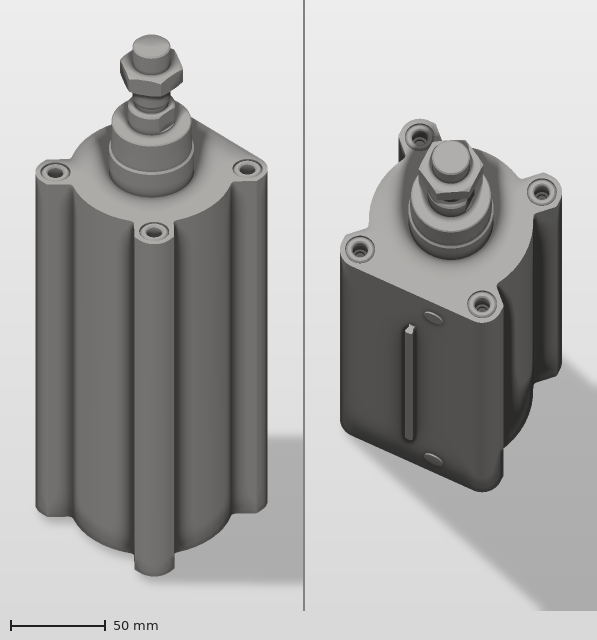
import cadquery as cq
import math


barrel_length = 227.7
barrel_width = 93.0
barrel_radius = 43.5
half_width = barrel_width / 2
screw_offset = 36.0
lobe_radius = half_width - screw_offset
lobe_width = 21.0
lobe_edge_radius = 1.3
root_radius = 2.5

groove_diameter = 16.0
groove_depth = 1.5
head_diameter = 15.0
head_chamfer = 1.0
socket_mouth_diameter = 10.0
socket_diameter = 8.3
socket_depth = 9.5
socket_tip_diameter = 5.7
socket_tip_depth = 2.0

collar_diameter = 45.0
collar_height = 34.3
collar_step_height = 16.5
collar_chamfer = 1.1
upper_collar_top_diameter = 42.2
upper_collar_chamfer = 0.5
foot_height = 4.5
foot_chamfer = 1.0

rail_length = 142.5
rail_height = 5.0
rail_base_width = 3.8
rail_waist_width = 2.5
rail_waist_height = 1.3
rail_head_width = 4.5
rail_head_chamfer = 0.8
disc_diameter = 10.8
disc_height = 1.0
disc_x = -12.7
disc_end_distance = 18.7

rod_diameter = 25.0
rod_shoulder_height = 46.0
rod_shoulder_chamfer = 1.0
flats_width = 22.2
flats_bottom_height = 35.3
neck_diameter = 17.8
neck_top_height = 48.3
thread_end_diameter = 18.5
thread_end_height = 49.0
thread_diameter = 20.0
thread_bottom_height = 50.8
thread_top_height = 85.5
thread_chamfer = 0.8

nut_width = 30.0
nut_thickness = 10.2
nut_bottom_height = 63.2
nut_corner_diameter = nut_width / math.cos(math.pi / 6)
nut_chamfer_radial = 2.0
nut_chamfer_axial = 1.0

clearance = 3.2


def cylinder(diameter, bottom, top):
    return cq.Workplane("XY").workplane(offset=bottom).circle(diameter / 2).extrude(top - bottom)


def revolved(profile):
    """Turn an (r, z) profile about the Z axis."""
    return cq.Workplane("XZ").polyline(profile).close().revolve(360, (0, 0, 0), (0, 1, 0))


def make_corner_lobes():
    """Two crossed diagonal bars trimmed to a rounded square."""
    square = cq.Workplane("XY").rect(barrel_width, barrel_width).extrude(barrel_length)
    square = square.edges("|Z").fillet(lobe_radius)
    bar = cq.Workplane("XY").rect(2 * barrel_width, lobe_width).extrude(barrel_length)
    bars = bar.rotate((0, 0, 0), (0, 0, 1), 45).union(bar.rotate((0, 0, 0), (0, 0, 1), -45))
    return square.intersect(bars)


def make_barrel():
    flat_side = cq.Workplane("XY").rect(2 * screw_offset, lobe_radius).extrude(barrel_length)
    flat_side = flat_side.translate((0, screw_offset + lobe_radius / 2, 0))
    barrel = cylinder(2 * barrel_radius, 0, barrel_length)
    barrel = barrel.union(make_corner_lobes()).union(flat_side).clean()

    def upright_edges_at(radius):
        tolerance = 0.03

        def at_radius(edge):
            middle = edge.Center()
            return abs(math.hypot(middle.x, middle.y) - radius) < tolerance

        return barrel.edges("|Z").filter(at_radius)

    lobe_corner_radius = math.hypot(half_width, half_width - lobe_width / math.sqrt(2))
    barrel = upright_edges_at(lobe_corner_radius).fillet(lobe_edge_radius)
    return upright_edges_at(barrel_radius).fillet(root_radius)


def make_screw_cutters():
    """Cutting tools for one screw: the groove around its chamfered head and its stepped socket."""
    groove_radius = groove_diameter / 2
    head_radius = head_diameter / 2
    groove = revolved([
        (head_radius - head_chamfer, 0),
        (head_radius, -head_chamfer),
        (head_radius, -groove_depth),
        (groove_radius, -groove_depth),
        (groove_radius, 0),
    ])
    mouth_radius = socket_mouth_diameter / 2
    socket_radius = socket_diameter / 2
    tip_radius = socket_tip_diameter / 2
    tip_bottom = -socket_depth - socket_tip_depth
    socket = revolved([
        (0, 0),
        (mouth_radius, 0),
        (socket_radius, socket_radius - mouth_radius),
        (socket_radius, -socket_depth),
        (tip_radius, -socket_depth),
        (tip_radius, tip_bottom),
        (0, tip_bottom),
    ])
    return groove, socket


def make_collar():
    """Stepped collar around the rod: a cylinder below and a slight cone above."""
    radius = collar_diameter / 2
    collar = revolved([
        (0, 0),
        (radius, 0),
        (radius, collar_step_height - collar_chamfer),
        (radius - collar_chamfer, collar_step_height),
        (upper_collar_top_diameter / 2, collar_height - upper_collar_chamfer),
        (upper_collar_top_diameter / 2 - upper_collar_chamfer, collar_height),
        (0, collar_height),
    ])
    return collar.translate((0, 0, barrel_length))


def make_foot():
    return cylinder(collar_diameter, -foot_height, 0).faces("<Z").chamfer(foot_chamfer)


def make_rail():
    """Rail with a waisted cross-section, centred along the barrel on its flat side."""
    half_profile = [
        (rail_base_width / 2, 0),
        (rail_waist_width / 2, rail_waist_height),
        (rail_head_width / 2, rail_height - rail_head_chamfer),
        (rail_head_width / 2 - rail_head_chamfer, rail_height),
    ]
    mirrored = [(-x, y) for x, y in reversed(half_profile)]
    rail = cq.Workplane("XY").polyline(half_profile + mirrored).close().extrude(rail_length)
    return rail.translate((0, half_width, (barrel_length - rail_length) / 2))


def make_disc(z):
    disc = cq.Workplane("XZ").circle(disc_diameter / 2).extrude(-disc_height)
    return disc.translate((disc_x, half_width, z))


def make_housing():
    housing = make_barrel().union(make_collar()).union(make_foot()).union(make_rail())
    for z in (disc_end_distance, barrel_length - disc_end_distance):
        housing = housing.union(make_disc(z))
    groove, socket = make_screw_cutters()
    for x in (-screw_offset, screw_offset):
        for y in (-screw_offset, screw_offset):
            screw_place = (x, y, barrel_length)
            housing = housing.cut(groove.translate(screw_place)).cut(socket.translate(screw_place))
    rod_hole = cylinder(rod_diameter, barrel_length, barrel_length + collar_height + clearance)
    return housing.cut(rod_hole)


def make_rod():
    """Rod seated in the collar, with wrench flats, a neck and a plain threaded end."""
    rod_radius = rod_diameter / 2
    thread_radius = thread_diameter / 2
    rod = revolved([
        (0, 0),
        (rod_radius, 0),
        (rod_radius, rod_shoulder_height - rod_shoulder_chamfer),
        (rod_radius - rod_shoulder_chamfer, rod_shoulder_height),
        (neck_diameter / 2, rod_shoulder_height),
        (neck_diameter / 2, neck_top_height),
        (thread_end_diameter / 2, neck_top_height),
        (thread_end_diameter / 2, thread_end_height),
        (thread_radius, thread_bottom_height),
        (thread_radius, thread_top_height - thread_chamfer),
        (thread_radius - thread_chamfer, thread_top_height),
        (0, thread_top_height),
    ])
    flat_height = rod_shoulder_height - flats_bottom_height
    for side in (-1, 1):
        flat_x = side * (flats_width + rod_diameter) / 2
        flat = cq.Workplane("XY").box(rod_diameter, 2 * rod_diameter, flat_height)
        rod = rod.cut(flat.translate((flat_x, 0, flats_bottom_height + flat_height / 2)))
    return rod.translate((0, 0, barrel_length))


def make_nut():
    """Hexagon nut with two faces square to X and its corners chamfered at both ends."""
    hexagon = cq.Workplane("XY").polygon(6, nut_corner_diameter).extrude(nut_thickness)
    hexagon = hexagon.rotate((0, 0, 0), (0, 0, 1), 30)
    outer_radius = nut_corner_diameter / 2
    end_radius = outer_radius - nut_chamfer_radial
    envelope = revolved([
        (0, 0),
        (end_radius, 0),
        (outer_radius, nut_chamfer_axial),
        (outer_radius, nut_thickness - nut_chamfer_axial),
        (end_radius, nut_thickness),
        (0, nut_thickness),
    ])
    nut = hexagon.intersect(envelope).cut(cylinder(thread_diameter, 0, nut_thickness))
    return nut.translate((0, 0, barrel_length + nut_bottom_height))


housing = make_housing()
rod = make_rod()
nut = make_nut()

result = cq.Compound.makeCompound([housing.val(), rod.val(), nut.val()])